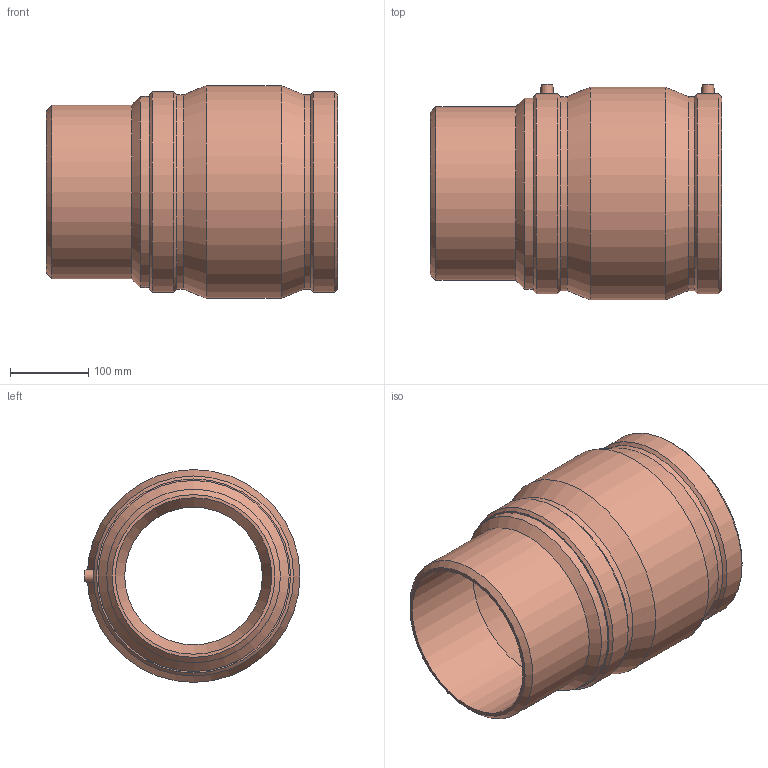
import cadquery as cq

total_length = 372.0
body_diameter = 272.0
overall_width = 276.0

spigot_diameter = 222.0
spigot_chamfer = 7.0
shoulder_start_x = 109.0
shoulder_diameter = 244.2

band_diameter = 255.68
neck_diameter = 248.01
band_flat_length = 27.0
front_band_start_x = 131.6

body_start_x = 204.2
body_end_x = 300.0
body_taper_length = 29.3

spigot_bore_diameter = 200.0
main_bore_diameter = 176.0
bore_cone_length = 24.0

pin_root_diameter = 17.0
pin_tip_diameter = 15.0
pin_embed_depth = 2.0

shoulder_taper_length = (shoulder_diameter - spigot_diameter) / 2
band_chamfer = (band_diameter - neck_diameter) / 2
band_length = band_flat_length + 2 * band_chamfer
bore_cone_start_x = shoulder_start_x
rear_band_start_x = total_length - band_length
pin_tip_y = overall_width - body_diameter / 2


def band_profile(start_x):
    """Return the (x, radius) points of one chamfered band."""
    end_x = start_x + band_length
    return [
        (start_x, neck_diameter / 2),
        (start_x + band_chamfer, band_diameter / 2),
        (end_x - band_chamfer, band_diameter / 2),
        (end_x, neck_diameter / 2),
    ]


def make_sleeve():
    """Revolve the hollow wall profile around the X axis."""
    spigot = [
        (0, spigot_diameter / 2 - spigot_chamfer),
        (spigot_chamfer, spigot_diameter / 2),
        (shoulder_start_x, spigot_diameter / 2),
    ]
    shoulder = [
        (shoulder_start_x + shoulder_taper_length, shoulder_diameter / 2),
        (front_band_start_x, shoulder_diameter / 2),
    ]
    body = [
        (body_start_x - body_taper_length, neck_diameter / 2),
        (body_start_x, body_diameter / 2),
        (body_end_x, body_diameter / 2),
        (body_end_x + body_taper_length, neck_diameter / 2),
    ]
    bore = [
        (total_length, main_bore_diameter / 2),
        (bore_cone_start_x + bore_cone_length, main_bore_diameter / 2),
        (bore_cone_start_x, spigot_bore_diameter / 2),
        (0, spigot_bore_diameter / 2),
    ]
    front_band = band_profile(front_band_start_x)
    rear_band = band_profile(rear_band_start_x)
    profile = spigot + shoulder + front_band + body + rear_band + bore
    return cq.Workplane("XY").polyline(profile).close().revolve(360, (0, 0, 0), (1, 0, 0))


def make_pin(band_start_x):
    """Return a tapered round pin centred on a band, rooted just below the band surface."""
    root_y = band_diameter / 2 - pin_embed_depth
    center_x = band_start_x + band_length / 2
    root = cq.Vector(center_x, root_y, 0)
    pin = cq.Solid.makeCone(
        pin_root_diameter / 2, pin_tip_diameter / 2, pin_tip_y - root_y, root, cq.Vector(0, 1, 0)
    )
    return cq.Workplane(obj=pin)


result = make_sleeve()
for band_start_x in (front_band_start_x, rear_band_start_x):
    result = result.union(make_pin(band_start_x))